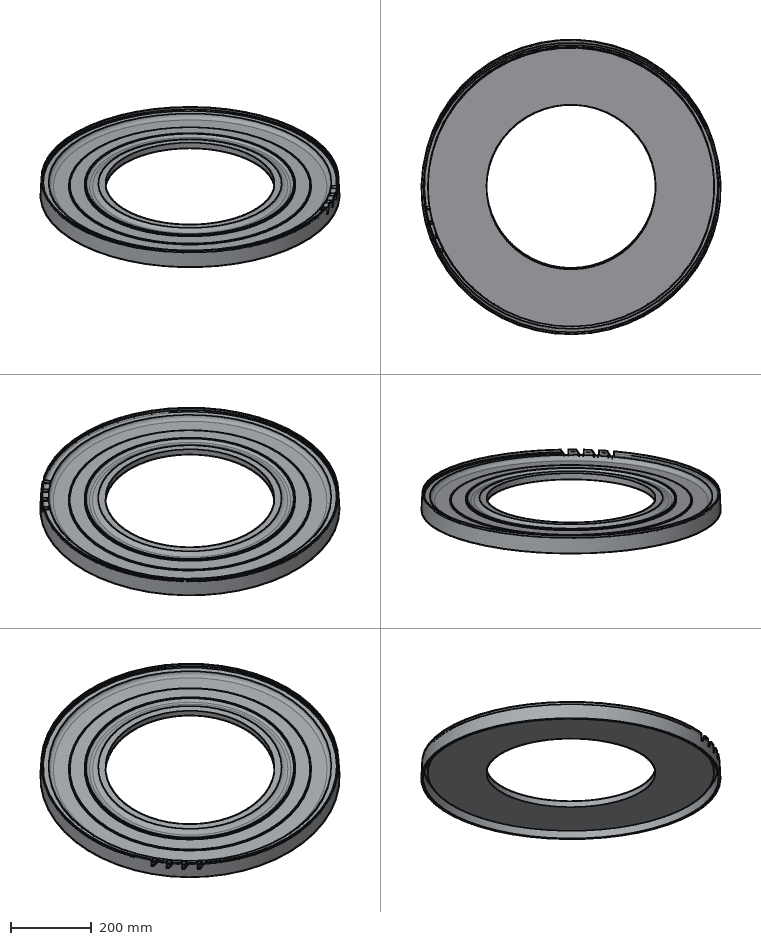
import cadquery as cq
import math

outer_radius = 370.5
lip_outer_radius = 368.0
lip_inner_radius = 366.0
total_height = 45.0
skirt_wall = 5.0
lip_fillet = 3.0

flange_top = 36.0
flange_bottom = 28.0
flange_inner_radius = 350.0
flange_web = 4.5

plate_bottom = 15.5
outer_floor = 25.0
outer_floor_radius = 338.5
step_height = 1.5
step_foot_radius = 300.0
step_top_radius = 297.0
bead_outer_radius = 261.0
bead_inner_radius = 257.0
bead_top = 30.5
channel_outer_radius = 249.0
channel_inner_radius = 241.5
hub_radius = 227.0
hub_top = 32.0
bore_radius = 209.0

slot_count = 4
slot_pitch_angle = 6.0
slot_floor = 25.0
slot_floor_width = 5.0
slot_flare = 13.0
slot_side_offset = 3.0
slot_web = 1.5

inner_floor = outer_floor + step_height
plate_radius = flange_inner_radius + flange_web
slot_inner_radius = flange_inner_radius + slot_web


def concave_midpoint(foot_radius, foot_z, end_radius, end_z):
    """Middle of a concave arc that leaves a flat floor tangentially at its foot."""
    run = end_radius - foot_radius
    rise = end_z - foot_z
    sweep = 2 * math.atan2(rise, abs(run))
    arc_radius = abs(run) / math.sin(sweep)
    along = math.copysign(arc_radius * math.sin(sweep / 2), run)
    up = arc_radius * (1 - math.cos(sweep / 2))
    return foot_radius + along, foot_z + up


def arc_up(profile, foot, end):
    """Continue the profile from a floor point up a concave arc."""
    return profile.threePointArc(concave_midpoint(*foot, *end), end)


def arc_down(profile, end, foot):
    """Continue the profile down a concave arc to a floor point."""
    return profile.threePointArc(concave_midpoint(*foot, *end), foot)


def make_ring():
    """Revolve the section of the whole ring, from the bore out to the skirt."""
    hub_edge = (hub_radius, hub_top)
    channel_inner = (channel_inner_radius, outer_floor)
    channel_outer = (channel_outer_radius, outer_floor)
    bead_inner = (bead_inner_radius, bead_top)
    floor_edge = (outer_floor_radius, outer_floor)
    flange_edge = (flange_inner_radius, flange_top)
    lip_fillet_foot = (lip_inner_radius - lip_fillet, flange_top)
    lip_fillet_end = (lip_inner_radius, flange_top + lip_fillet)

    profile = cq.Workplane("XZ").moveTo(bore_radius, plate_bottom).lineTo(bore_radius, hub_top)
    profile = profile.lineTo(*hub_edge)
    profile = arc_down(profile, hub_edge, channel_inner).lineTo(*channel_outer)
    profile = arc_up(profile, channel_outer, bead_inner)
    profile = (
        profile.lineTo(bead_outer_radius, bead_top)
        .lineTo(bead_outer_radius, inner_floor)
        .lineTo(step_top_radius, inner_floor)
        .lineTo(step_foot_radius, outer_floor)
        .lineTo(*floor_edge)
    )
    profile = arc_up(profile, floor_edge, flange_edge).lineTo(*lip_fillet_foot)
    profile = arc_up(profile, lip_fillet_foot, lip_fillet_end)
    profile = (
        profile.lineTo(lip_inner_radius, total_height)
        .lineTo(lip_outer_radius, total_height)
        .lineTo(outer_radius, 0)
        .lineTo(outer_radius - skirt_wall, 0)
        .lineTo(lip_outer_radius - skirt_wall, flange_bottom)
        .lineTo(plate_radius, flange_bottom)
        .lineTo(plate_radius, plate_bottom)
        .close()
    )
    return profile.revolve(360, (0, 0, 0), (0, 1, 0))


def make_slot(angle):
    """Cutter for one slot: one upright side and one side that leans outward."""
    upright_side = -slot_side_offset
    leaning_side = upright_side + slot_floor_width
    return (
        cq.Workplane("YZ", origin=(slot_inner_radius, 0, 0))
        .polyline([
            (upright_side, slot_floor),
            (leaning_side, slot_floor),
            (leaning_side + slot_flare, total_height),
            (upright_side, total_height),
        ])
        .close()
        .extrude(outer_radius - slot_inner_radius)
        .rotate((0, 0, 0), (0, 0, 1), angle)
    )


result = make_ring()
for index in range(slot_count):
    result = result.cut(make_slot(index * slot_pitch_angle))